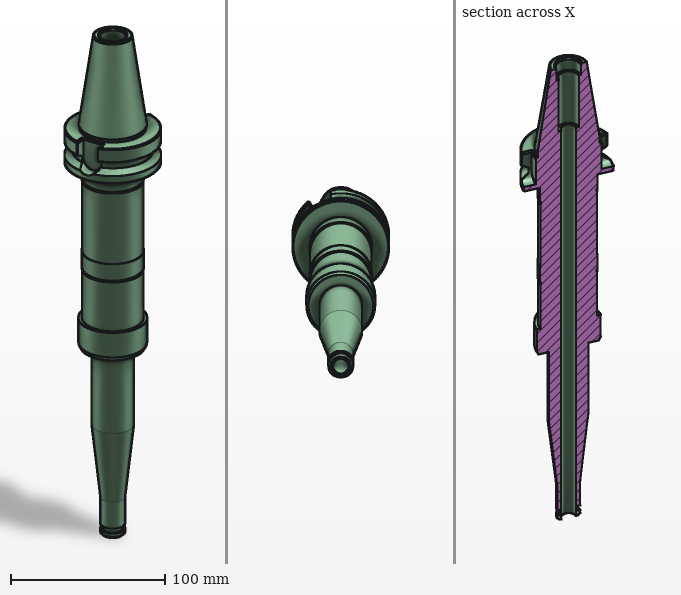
import cadquery as cq
import math

total_length = 361.5
taper_length = 65.0
gauge_diameter = 44.5
taper_ratio = 7 / 24
taper_tip_diameter = gauge_diameter - taper_length * taper_ratio
tip_chamfer = 0.7

flange_diameter = 63.0
undercut_diameter = 43.5
flange_top_depth = 67.2
flange_bottom_depth = 92.5
flange_chamfer = 0.7
groove_floor_diameter = 52.5
groove_centre_depth = 81.5
groove_opening = 10.0
groove_flank_angle = 30.0
groove_drop = (flange_diameter - groove_floor_diameter) / 2
groove_run = groove_drop * math.tan(math.radians(groove_flank_angle))

slot_width = 15.0
slot_floor_offset = 23.0
slot_bottom_depth = 88.5
slot_edge_chamfer = 1.0
bevel_angle = 45.0

band_diameter = 40.5
barrel_diameter = 40.0
joint_diameter = 39.5
joint_height = 1.0
upper_joint_depth = 104.0
lower_band_depth = 156.0
lower_joint_depth = 168.5
collar_diameter = 44.8
collar_top_depth = 205.0
collar_bottom_depth = 225.5
collar_chamfer_height = 3.0
collar_end_diameter = 42.0

stem_diameter = 28.0
stem_end_depth = 282.0
pilot_diameter = 16.3
pilot_start_depth = 334.5
neck_diameter = 13.0
neck_top_depth = 353.8
neck_bottom_depth = 357.5
tip_end_diameter = 13.0
tip_end_chamfer = (pilot_diameter - tip_end_diameter) / 2

coolant_diameter = 10.0
thread_diameter = 13.7
thread_depth = 50.5
pilot_bore_diameter = 17.0
pilot_bore_depth = 9.5
bore_mouth_diameter = 19.0
bore_mouth_chamfer = (bore_mouth_diameter - pilot_bore_diameter) / 2


def height(depth):
    """Z of a plane that lies `depth` below the small end of the taper."""
    return total_length - depth


def revolve(stations):
    """Solid of revolution about Z from (diameter, depth) stations."""
    points = [(diameter / 2, height(depth)) for diameter, depth in stations]
    outline = [(0, points[0][1])] + points + [(0, points[-1][1])]
    return cq.Workplane("XZ").polyline(outline).close().revolve(360, (0, 0), (0, 1))


def shank():
    """Taper and flange, down to the underside of the flange."""
    rim_diameter = flange_diameter - 2 * flange_chamfer
    half_opening = groove_opening / 2
    return revolve([
        (taper_tip_diameter - 2 * tip_chamfer, 0),
        (taper_tip_diameter + tip_chamfer * taper_ratio, tip_chamfer),
        (gauge_diameter, taper_length),
        (undercut_diameter, taper_length),
        (undercut_diameter, flange_top_depth),
        (rim_diameter, flange_top_depth),
        (flange_diameter, flange_top_depth + flange_chamfer),
        (flange_diameter, groove_centre_depth - half_opening),
        (groove_floor_diameter, groove_centre_depth - half_opening + groove_run),
        (groove_floor_diameter, groove_centre_depth + half_opening - groove_run),
        (flange_diameter, groove_centre_depth + half_opening),
        (flange_diameter, flange_bottom_depth - flange_chamfer),
        (rim_diameter, flange_bottom_depth),
        (band_diameter, flange_bottom_depth),
    ])


def arbor():
    """Body, collar, stem, cone and grooved tip below the flange."""
    return revolve([
        (band_diameter, flange_bottom_depth),
        (band_diameter, upper_joint_depth),
        (joint_diameter, upper_joint_depth),
        (joint_diameter, upper_joint_depth + joint_height),
        (barrel_diameter, upper_joint_depth + joint_height),
        (barrel_diameter, lower_band_depth),
        (band_diameter, lower_band_depth),
        (band_diameter, lower_joint_depth),
        (joint_diameter, lower_joint_depth),
        (joint_diameter, lower_joint_depth + joint_height),
        (barrel_diameter, lower_joint_depth + joint_height),
        (barrel_diameter, collar_top_depth),
        (collar_diameter, collar_top_depth),
        (collar_diameter, collar_bottom_depth - collar_chamfer_height),
        (collar_end_diameter, collar_bottom_depth),
        (stem_diameter, collar_bottom_depth),
        (stem_diameter, stem_end_depth),
        (pilot_diameter, pilot_start_depth),
        (pilot_diameter, neck_top_depth),
        (neck_diameter, neck_top_depth),
        (neck_diameter, neck_bottom_depth),
        (pilot_diameter, neck_bottom_depth),
        (pilot_diameter, total_length - tip_end_chamfer),
        (tip_end_diameter, total_length),
    ])


def drive_slot():
    """Round-bottomed slot on the +Y side with bevelled rim and top edges."""
    radius = slot_width / 2
    slot_top = height(flange_top_depth)
    arc_centre = height(slot_bottom_depth) + radius
    rim_y = flange_diameter / 2
    slot_length = rim_y - slot_floor_offset
    slot = (
        cq.Workplane("XZ", origin=(0, rim_y, 0))
        .moveTo(-radius, slot_top)
        .lineTo(-radius, arc_centre)
        .threePointArc((0, arc_centre - radius), (radius, arc_centre))
        .lineTo(radius, slot_top)
        .close()
        .extrude(slot_length)
    )
    edge_y = math.sqrt(rim_y**2 - radius**2)
    bevel_start_y = edge_y - slot_edge_chamfer
    rim_flare = radius + rim_y - bevel_start_y
    rim_bevel = (
        cq.Workplane("XY", origin=(0, 0, arc_centre))
        .polyline([
            (-radius, bevel_start_y),
            (radius, bevel_start_y),
            (rim_flare, rim_y),
            (-rim_flare, rim_y),
        ])
        .close()
        .extrude(slot_top - arc_centre)
    )
    top_bevel = (
        cq.Workplane("XY", origin=(0, 0, slot_top - slot_edge_chamfer))
        .center(0, (slot_floor_offset + rim_y) / 2)
        .rect(slot_width, slot_length)
        .extrude(slot_edge_chamfer, taper=-bevel_angle)
    )
    return slot.union(rim_bevel).union(top_bevel)


def axial_bore():
    """Pull-stud bore at the taper end, continuing as a through hole."""
    return revolve([
        (bore_mouth_diameter, 0),
        (pilot_bore_diameter, bore_mouth_chamfer),
        (pilot_bore_diameter, pilot_bore_depth),
        (thread_diameter, pilot_bore_depth),
        (thread_diameter, thread_depth),
        (coolant_diameter, thread_depth),
        (coolant_diameter, total_length),
    ])


result = shank().union(arbor())
for slot_angle in (0, 180):
    result = result.cut(drive_slot().rotate((0, 0, 0), (0, 0, 1), slot_angle))
result = result.cut(axial_bore())